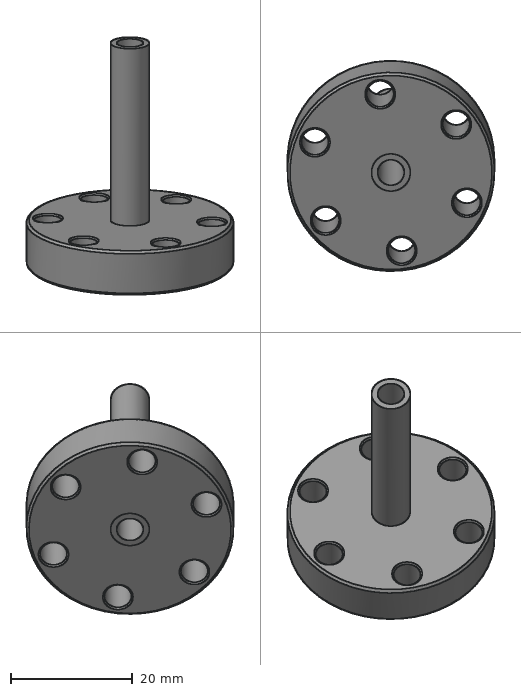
import cadquery as cq

flange_diameter = 34.0
flange_thickness = 7.62
flange_chamfer = 0.42

bolt_hole_count = 6
bolt_circle_radius = 13.5
bolt_hole_diameter = 4.42
bolt_hole_chamfer = 0.25
first_hole_angle = 90
full_turn = 360

overall_height = 38.1
tube_outer_diameter = 6.35
tube_bore_diameter = 4.35


def make_flange():
    """Disc with chamfered rims, chamfered bolt holes and a socket for the tube."""
    disc = cq.Workplane("XY").circle(flange_diameter / 2).extrude(flange_thickness)
    disc = disc.faces("<Z or >Z").edges().chamfer(flange_chamfer)
    bolt_holes = (
        cq.Workplane("XY")
        .polarArray(bolt_circle_radius, first_hole_angle, full_turn, bolt_hole_count)
        .circle(bolt_hole_diameter / 2)
        .extrude(flange_thickness)
    )
    disc = disc.cut(bolt_holes)
    disc = disc.faces("<Z or >Z").edges(cq.selectors.RadiusNthSelector(0)).chamfer(bolt_hole_chamfer)
    tube_socket = cq.Workplane("XY").circle(tube_outer_diameter / 2).extrude(flange_thickness)
    return disc.cut(tube_socket).solids()


def make_tube():
    """Plain tube, flush with the underside of the flange."""
    return (
        cq.Workplane("XY")
        .circle(tube_outer_diameter / 2)
        .circle(tube_bore_diameter / 2)
        .extrude(overall_height)
    )


flange = make_flange()
tube = make_tube()

result = cq.Compound.makeCompound([flange.val(), tube.val()])